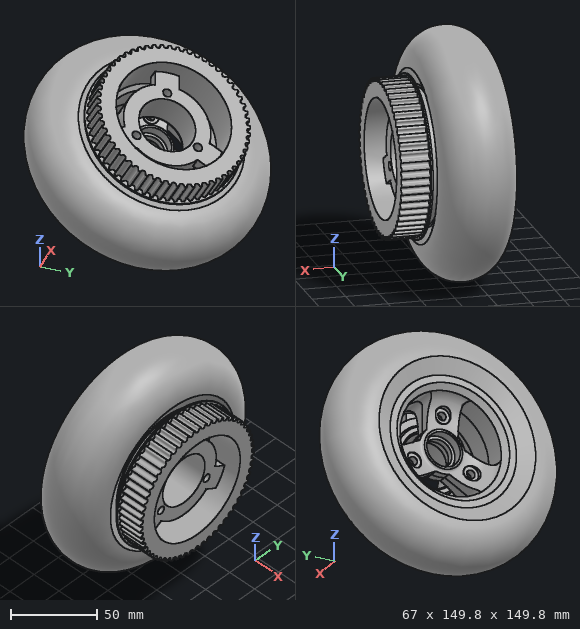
import cadquery as cq
import math


wheel_radius = 74.9
tyre_width = 46.9
bead_recess = 5.0
tyre_half = tyre_width / 2
tread_radius = tyre_half
tyre_side_radius = wheel_radius - tread_radius

rim_radius = 83.0 / 2
lip_inner_radius = 74.0 / 2
well_radius = 66.5 / 2
lip_depth = tyre_half - bead_recess
cone_depth = 15.3
web_outer_depth = 8.1
web_outer_radius = 27.0
web_inner_depth = 5.2
web_inner_radius = 16.2
hub_radius = 25.0 / 2
hub_depth = 6.6

spoke_count = 3
spoke_width = 20.5
window_inner_radius = 30.0 / 2
window_fillet = 2.7

bearing_radius = 22.0 / 2
shaft_hole_radius = 18.0 / 2
bearing_stop = 4.0
rear_hub_depth = hub_depth + bearing_stop

bolt_circle_radius = 21.9
bolt_hole_diameter = 5.2
counterbore_diameter = 10.0
counterbore_floor = 4.8

overall_width = 67.0
tooth_count = 60
tooth_radius = 47.2
groove_radius = 1.5
tooth_rounding = 0.5
flange_radius = 48.5
flange_start = 25.2
flange_thickness = 1.0
shoulder_radius = 80.0 / 2
pulley_bore_radius = 71.3 / 2
pulley_spoke_width = 15.0
pulley_web_thickness = 7.5
core_radius = 27.0
core_start = 10.5
boss_base_radius = 22.3
boss_height = 1.0
core_bore_radius = 35.0 / 2
core_bore_chamfer = 0.9
web_end = flange_start + pulley_web_thickness
pulley_end = overall_width - tyre_half
teeth_start = flange_start + flange_thickness


def revolve_about_axle(profile):
    return profile.close().revolve(360, (0, 0, 0), (1, 0, 0))


def disc(radius, start, end):
    """Solid disc about the X axis between two x positions."""
    return cq.Workplane("YZ", origin=(start, 0, 0)).circle(radius).extrude(end - start)


def around_axle(body):
    """Copies of a body made at +Z, one for each spoke direction."""
    return [body.rotate((0, 0, 0), (1, 0, 0), 360 / spoke_count * i) for i in range(spoke_count)]


def spoke_bars(width, length, start, end):
    bar = cq.Workplane("XY").box(end - start, width, length).translate(((start + end) / 2, 0, length / 2))
    return around_axle(bar)


def bolt_cylinders(diameter, start, end):
    return around_axle(disc(diameter / 2, start, end).translate((0, 0, bolt_circle_radius)))


def make_tyre():
    profile = (
        cq.Workplane("XY")
        .moveTo(-tyre_half, tyre_side_radius)
        .threePointArc((0, wheel_radius), (tyre_half, tyre_side_radius))
        .lineTo(lip_depth, rim_radius)
        .lineTo(-lip_depth, rim_radius)
    )
    return revolve_about_axle(profile)


def rim_blank(hub_face):
    """Rim half on the +X side of the joint, with a dished web and a hub that ends at hub_face."""
    well_edge = (cone_depth, well_radius)
    web_outer = (web_outer_depth, web_outer_radius)
    web_inner = (web_inner_depth, web_inner_radius)
    hub_edge = (hub_depth, hub_radius)
    well_direction = (-1, -0.4)
    hub_direction = (1, -0.2)
    profile = (
        cq.Workplane("XY")
        .lineTo(0, rim_radius)
        .lineTo(lip_depth, rim_radius)
        .lineTo(lip_depth, lip_inner_radius)
        .lineTo(*well_edge)
        .spline(
            [web_outer, web_inner, hub_edge],
            tangents=[well_direction, hub_direction],
            includeCurrent=True,
        )
    )
    if hub_face > hub_depth:
        profile = profile.lineTo(hub_face, hub_radius)
    return revolve_about_axle(profile.lineTo(hub_face, 0))


def rim_windows():
    """The three openings between the spokes, rounded at their outer corners."""
    windows = disc(well_radius, 0, cone_depth).cut(disc(window_inner_radius, 0, cone_depth))
    for bar in spoke_bars(spoke_width, wheel_radius, 0, cone_depth):
        windows = windows.cut(bar)
    outer_corners = [
        edge for edge in windows.edges("|X").vals()
        if math.hypot(edge.Center().y, edge.Center().z) > bolt_circle_radius
    ]
    return windows.newObject(outer_corners).fillet(window_fillet)


def make_rim_half(hub_face):
    rim = rim_blank(hub_face).cut(rim_windows())
    for hole in bolt_cylinders(bolt_hole_diameter, 0, counterbore_floor):
        rim = rim.cut(hole)
    for counterbore in bolt_cylinders(counterbore_diameter, counterbore_floor, cone_depth):
        rim = rim.cut(counterbore)
    return rim


def make_front_rim():
    """Half on the -X side, bored straight through for its bearing."""
    rim = make_rim_half(hub_depth).cut(disc(bearing_radius, 0, hub_depth))
    return rim.mirror("YZ")


def make_rear_rim():
    """Half on the +X side, with the collar that keeps the two bearings apart."""
    rim = make_rim_half(rear_hub_depth).cut(disc(shaft_hole_radius, 0, bearing_stop))
    return rim.cut(disc(bearing_radius, bearing_stop, rear_hub_depth))


def toothed_band():
    """Belt teeth, left between round-bottomed grooves in a disc."""
    mouth_half = groove_radius + tooth_rounding
    mouth_height = math.sqrt(tooth_radius**2 - mouth_half**2)
    groove_centre = mouth_height - tooth_rounding
    rounding_offset = tooth_rounding * math.sqrt(0.5)
    rounding_middle = (mouth_half - rounding_offset, groove_centre + rounding_offset)
    groove = (
        cq.Workplane("YZ", origin=(teeth_start, 0, 0))
        .moveTo(-mouth_half, mouth_height)
        .threePointArc((-rounding_middle[0], rounding_middle[1]), (-groove_radius, groove_centre))
        .threePointArc((0, groove_centre - groove_radius), (groove_radius, groove_centre))
        .threePointArc(rounding_middle, (mouth_half, mouth_height))
        .lineTo(mouth_half, flange_radius)
        .lineTo(-mouth_half, flange_radius)
        .close()
        .extrude(pulley_end - teeth_start)
    )
    grooves = [
        groove.rotate((0, 0, 0), (1, 0, 0), 360 / tooth_count * i).val() for i in range(tooth_count)
    ]
    return disc(tooth_radius, teeth_start, pulley_end).cut(cq.Workplane(cq.Compound.makeCompound(grooves)))


def pulley_core():
    """Bolting ring with a raised boss that faces the rear rim half."""
    profile = (
        cq.Workplane("XY")
        .moveTo(web_end, core_bore_radius)
        .lineTo(core_start + core_bore_chamfer, core_bore_radius)
        .lineTo(core_start, core_bore_radius + core_bore_chamfer)
        .lineTo(core_start, boss_base_radius - boss_height)
        .lineTo(core_start + boss_height, boss_base_radius)
        .lineTo(core_start + boss_height, core_radius)
        .lineTo(web_end, core_radius)
    )
    return revolve_about_axle(profile)


def make_pulley():
    pulley = toothed_band()
    pulley = pulley.union(disc(flange_radius, flange_start, teeth_start))
    pulley = pulley.union(disc(shoulder_radius, lip_depth, flange_start))
    pulley = pulley.cut(disc(pulley_bore_radius, lip_depth, pulley_end))
    for bar in spoke_bars(pulley_spoke_width, shoulder_radius, flange_start, web_end):
        pulley = pulley.union(bar)
    pulley = pulley.cut(disc(core_radius, flange_start, web_end)).union(pulley_core())
    for hole in bolt_cylinders(bolt_hole_diameter, core_start, web_end):
        pulley = pulley.cut(hole)
    return pulley


tyre = make_tyre()
front_rim = make_front_rim()
rear_rim = make_rear_rim()
pulley = make_pulley()

bodies = [tyre, front_rim, rear_rim, pulley]
result = cq.Compound.makeCompound([body.solids().val() for body in bodies])